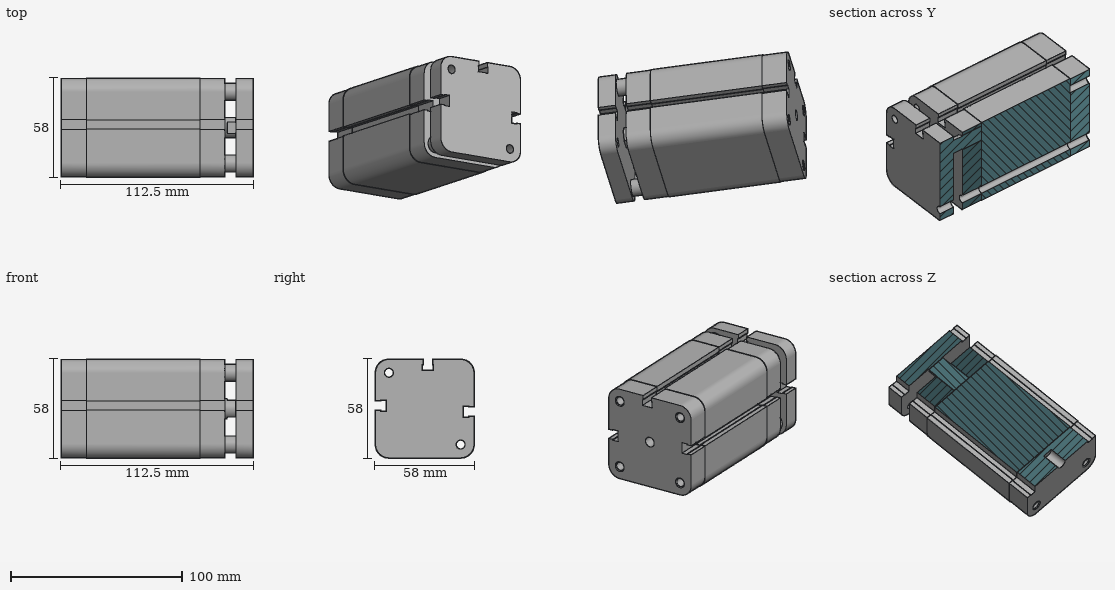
import cadquery as cq

TOTAL_LENGTH = 112.5
REAR_CAP_LENGTH = 14.7
BARREL_LENGTH = 66.6
FRONT_CAP_LENGTH = 14.5
PLATE_THICKNESS = 10.2
BARREL_REAR = REAR_CAP_LENGTH
BARREL_FRONT = BARREL_REAR + BARREL_LENGTH
CAP_FRONT = BARREL_FRONT + FRONT_CAP_LENGTH
PLATE_REAR = TOTAL_LENGTH - PLATE_THICKNESS

BARREL_WIDTH = 58.0
CORNER_SPACING = 42.0
CORNER_CENTRE = CORNER_SPACING / 2
END_SETBACK = 0.28

SLOT_OFFSET = 1.8
SLOT_NECK_WIDTH = 5.3
SLOT_WIDTH = 6.2
SLOT_LIP = 3.4
SLOT_DEPTH = 6.4
SLOT_TURNS = (-90, 0, 90)

SCREW_HOLE_DIAMETER = 5.1
SCREW_HOLE_CHAMFER = 0.6
CENTRE_HOLE_DIAMETER = 6.1
CENTRE_HOLE_DEPTH = 11.2

GUIDE_ROD_DIAMETER = 10.0
ROD_DIAMETER = 12.0
ROD_FLATS_WIDTH = 9.9
ROD_FLATS_LENGTH = 5.0
ROD_FLATS_RUNOUT = 0.3
ROD_CHAMFER = 0.3

GUIDE_CORNERS = [(CORNER_CENTRE, CORNER_CENTRE), (-CORNER_CENTRE, -CORNER_CENTRE)]
THROUGH_CORNERS = [(CORNER_CENTRE, -CORNER_CENTRE), (-CORNER_CENTRE, CORNER_CENTRE)]


def section_plane(x):
    """Plane across the cylinder at x, with local axes along Y and Z."""
    return cq.Workplane("YZ", origin=(x, 0, 0))


def rods(x_start, x_end, diameter, centres):
    """Round bars along X, also used to cut matching holes."""
    return section_plane(x_start).pushPoints(centres).circle(diameter / 2).extrude(x_end - x_start)


def slot_cutter(x_start, x_end, setback):
    """Undercut slot in the top face, widened by the setback on every side."""
    top = BARREL_WIDTH / 2

    def bar(width, z_low, z_high):
        return (
            section_plane(x_start)
            .center(SLOT_OFFSET, (z_low + z_high) / 2)
            .rect(width + 2 * setback, z_high - z_low)
            .extrude(x_end - x_start)
        )

    floor = top - SLOT_DEPTH - setback
    lip_underside = top - SLOT_LIP + setback
    undercut = bar(SLOT_WIDTH, floor, lip_underside)
    neck = bar(SLOT_NECK_WIDTH, floor, top)
    return undercut.union(neck)


def slotted_block(x_start, x_end, setback=0.0):
    """Rounded square block with three slots and the two open screw holes."""
    width = BARREL_WIDTH - 2 * setback
    block = section_plane(x_start).rect(width, width).extrude(x_end - x_start)
    block = block.edges("|X").fillet(width / 2 - CORNER_CENTRE)
    slot = slot_cutter(x_start, x_end, setback)
    for turn in SLOT_TURNS:
        block = block.cut(slot.rotate((0, 0, 0), (1, 0, 0), turn))
    return block.cut(rods(x_start, x_end, SCREW_HOLE_DIAMETER, THROUGH_CORNERS))


def make_rear_cap():
    """Cap with four countersunk screw holes and a blind centre hole."""
    cap = slotted_block(0, BARREL_REAR, END_SETBACK)
    cap = cap.cut(rods(0, BARREL_REAR, SCREW_HOLE_DIAMETER, GUIDE_CORNERS))
    hole_radius = SCREW_HOLE_DIAMETER / 2
    mouth_radius = hole_radius + SCREW_HOLE_CHAMFER
    for y, z in GUIDE_CORNERS + THROUGH_CORNERS:
        countersink = cq.Solid.makeCone(
            mouth_radius, hole_radius, SCREW_HOLE_CHAMFER, cq.Vector(0, y, z), cq.Vector(1, 0, 0)
        )
        cap = cap.cut(cq.Workplane(countersink))
    return cap.cut(rods(0, CENTRE_HOLE_DEPTH, CENTRE_HOLE_DIAMETER, [(0, 0)]))


def make_barrel():
    """Profile between the caps."""
    return slotted_block(BARREL_REAR, BARREL_FRONT)


def make_front_cap():
    """Cap that the piston rod and the guide rods run through."""
    cap = slotted_block(BARREL_FRONT, CAP_FRONT, END_SETBACK)
    cap = cap.cut(rods(BARREL_FRONT, CAP_FRONT, GUIDE_ROD_DIAMETER, GUIDE_CORNERS))
    return cap.cut(rods(BARREL_FRONT, CAP_FRONT, ROD_DIAMETER, [(0, 0)]))


def make_piston_rod():
    """Rod bearing on the plate, with two wrench flats and a chamfered front end."""
    rod = rods(BARREL_FRONT, PLATE_REAR, ROD_DIAMETER, [(0, 0)]).faces(">X").chamfer(ROD_CHAMFER)
    flats_start = PLATE_REAR - ROD_FLATS_LENGTH
    flat_height = ROD_FLATS_WIDTH / 2
    rod_radius = ROD_DIAMETER / 2
    flat = (
        cq.Workplane("XZ")
        .moveTo(flats_start, flat_height)
        .lineTo(PLATE_REAR, flat_height)
        .lineTo(PLATE_REAR, rod_radius)
        .lineTo(flats_start - ROD_FLATS_RUNOUT, rod_radius)
        .close()
        .extrude(rod_radius, both=True)
    )
    return rod.cut(flat).cut(flat.mirror("XY"))


def make_yoke_plate():
    """End plate carrying the two guide rods."""
    plate = slotted_block(PLATE_REAR, TOTAL_LENGTH, END_SETBACK)
    return plate.union(rods(BARREL_FRONT, PLATE_REAR, GUIDE_ROD_DIAMETER, GUIDE_CORNERS))


rear_cap = make_rear_cap()
barrel = make_barrel()
front_cap = make_front_cap()
piston_rod = make_piston_rod()
yoke_plate = make_yoke_plate()

result = cq.Compound.makeCompound(
    [rear_cap.val(), barrel.val(), front_cap.val(), piston_rod.val(), yoke_plate.val()]
)